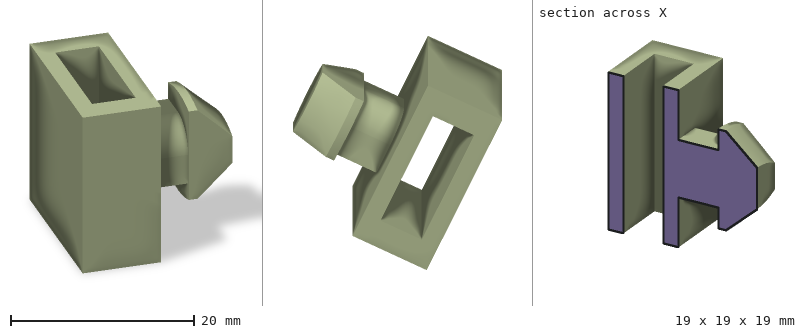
import cadquery as cq

frame_side = 19.0
frame_depth = 9.0
slot_width = 13.2
slot_depth = 5.0

shank_diameter = 7.0
shank_length = 5.0

head_width = 7.5
head_height = 12.0
rim_thickness = 1.0
nose_length = 4.0
crown_radius = 12.0
nose_taper = 3.5

shank_radius = shank_diameter / 2
shank_start = frame_depth
head_start = shank_start + shank_length
nose_start = head_start + rim_thickness


def plane_at(y):
    """Sketch plane at depth y, facing +Y, with local x along -X and local y along +Z."""
    return cq.Workplane(cq.Plane(origin=(0, y, 0), xDir=(-1, 0, 0), normal=(0, 1, 0)))


def make_frame():
    block = plane_at(0).rect(frame_side, frame_side).extrude(frame_depth)
    slot = cq.Workplane("XY").center(0, frame_depth / 2).rect(slot_width, slot_depth)
    return block.cut(slot.extrude(frame_side / 2, both=True))


def make_shank():
    shank = plane_at(shank_start).circle(shank_radius).extrude(shank_length)
    for side in (1, -1):
        center = side * shank_radius / 2
        corner = plane_at(shank_start).center(center, center).rect(shank_radius, shank_radius)
        shank = shank.union(corner.extrude(shank_length))
    return shank


def crown_disc(side):
    """Disc with a conical nose whose edge forms the crowned end of the head on the given Z side."""
    axis_z = side * (head_height / 2 - crown_radius)
    rim = plane_at(head_start).center(0, axis_z).circle(crown_radius).extrude(rim_thickness)
    nose = (
        plane_at(nose_start)
        .center(0, axis_z)
        .circle(crown_radius)
        .workplane(offset=nose_length)
        .circle(crown_radius - nose_taper)
        .loft(ruled=True)
    )
    return rim.union(nose)


def make_head():
    blank = plane_at(head_start).rect(head_width, head_height).extrude(rim_thickness + nose_length)
    return blank.intersect(crown_disc(1)).intersect(crown_disc(-1))


result = make_frame().union(make_shank()).union(make_head())